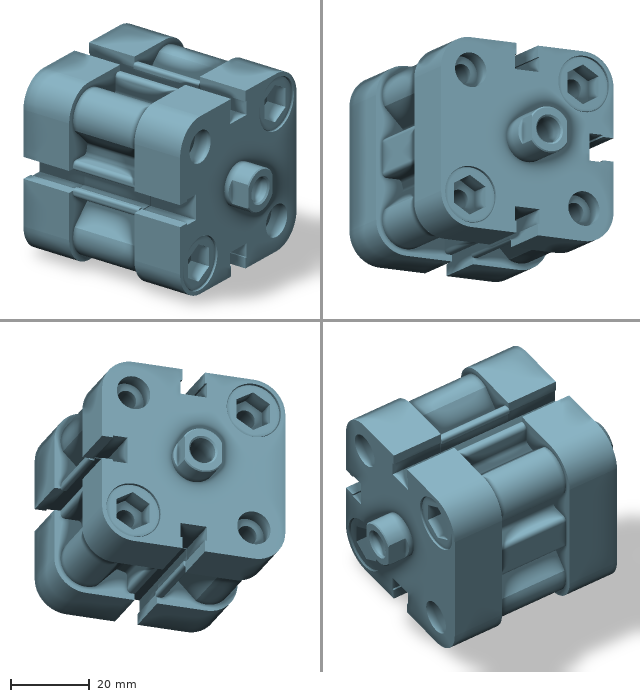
import cadquery as cq
import math


body_width = 49.5
body_length = 49.5
cap_length = 14.45
barrel_length = body_length - 2 * cap_length

bolt_offset = 32.5 / 2
bolt_hole_diameter = 5.1

cap_half = body_width / 2
cap_corner_radius = cap_half - bolt_offset
socket_width = 9.0
round_socket_depth = 5.0
hex_socket_depth = 5.8
head_recess_diameter = 14.7
head_recess_depth = 0.5
head_diameter = 14.2
head_gap_depth = 1.0

cap_neck_width = 6.1
cap_neck_depth = 3.0
cap_slot_width = 7.1
cap_slot_depth = 6.85

barrel_half = 23.05
lobe_radius = barrel_half - bolt_offset
core_half = 12.0

barrel_neck_half = 2.6
lip_inner_radius = 0.7
lip_underside = 21.55
barrel_slot_half = 3.3
barrel_slot_floor = 18.15

groove_wall = 5.1
lip_outer_radius = 1.15
groove_root = 7.9
groove_root_height = 16.9
groove_floor_angle = 15.0
groove_fillet = 1.0

rod_diameter = 12.0
rod_reach_left = 12.0
rod_reach_right = 7.0
rod_length = rod_reach_left + body_length + rod_reach_right
rod_chamfer = 0.3
flats_width = 10.0
flats_length = 5.2
flats_runout = 0.4
thread_bore_diameter = 6.8
thread_bore_depth = 12.0
thread_mouth_diameter = 7.7
drill_point_angle = 118.0

slot_angles = (0, 90, 180)
all_face_angles = (0, 90, 180, 270)


def turned(solid, angle):
    """Turn a solid about the cylinder axis."""
    return solid.rotate((0, 0, 0), (1, 0, 0), angle)


def cross_section():
    """Plane across the cylinder axis at X = 0: local x is +Y, local y is +Z, normal is +X."""
    return cq.Workplane("YZ")



def cap_slot_cutter():
    neck_half = cap_neck_width / 2
    slot_half = cap_slot_width / 2
    shoulder = cap_half - cap_neck_depth
    floor = cap_half - cap_slot_depth
    outline = [
        (neck_half, cap_half),
        (neck_half, shoulder),
        (slot_half, shoulder),
        (slot_half, floor),
    ]
    mirrored = [(-y, z) for y, z in reversed(outline)]
    return cross_section().polyline(outline + mirrored).close().extrude(cap_length)


def make_cap():
    """Left end cap, with its outer face at X = 0."""
    cap = cross_section().rect(body_width, body_width).extrude(cap_length)
    cap = cap.edges("|X").fillet(cap_corner_radius)

    for angle in slot_angles:
        cap = cap.cut(turned(cap_slot_cutter(), angle))

    cap = cap.cut(cross_section().circle(rod_diameter / 2).extrude(cap_length))

    spacing = 2 * bolt_offset
    bolt_holes = cross_section().rect(spacing, spacing, forConstruction=True).vertices()
    cap = cap.cut(bolt_holes.circle(bolt_hole_diameter / 2).extrude(cap_length))

    round_corners = [(bolt_offset, bolt_offset), (-bolt_offset, -bolt_offset)]
    round_sockets = cross_section().pushPoints(round_corners)
    cap = cap.cut(round_sockets.circle(socket_width / 2).extrude(round_socket_depth))

    hex_diameter = socket_width / math.cos(math.radians(30))
    hex_depth = head_recess_depth + hex_socket_depth
    for side in (1, -1):
        corner = cross_section().center(side * bolt_offset, -side * bolt_offset)
        hexagon = corner.transformed(rotate=(0, 0, 90)).polygon(6, hex_diameter)
        cap = cap.cut(hexagon.extrude(hex_depth))
        recess = corner.circle(head_recess_diameter / 2)
        cap = cap.cut(recess.extrude(head_recess_depth))
        gap = corner.circle(head_recess_diameter / 2).circle(head_diameter / 2)
        cap = cap.cut(gap.extrude(head_gap_depth))
    return cap



def barrel_slot_cutter():
    round_middle = lip_inner_radius * (1 - math.sqrt(0.5))
    lip_top = barrel_neck_half + lip_inner_radius
    neck_top = barrel_half - lip_inner_radius
    arc_side = barrel_neck_half + round_middle
    arc_height = barrel_half - round_middle
    return (
        cross_section()
        .moveTo(-lip_top, barrel_half)
        .lineTo(lip_top, barrel_half)
        .threePointArc((arc_side, arc_height), (barrel_neck_half, neck_top))
        .lineTo(barrel_neck_half, lip_underside)
        .lineTo(barrel_slot_half, lip_underside)
        .lineTo(barrel_slot_half, barrel_slot_floor)
        .lineTo(-barrel_slot_half, barrel_slot_floor)
        .lineTo(-barrel_slot_half, lip_underside)
        .lineTo(-barrel_neck_half, lip_underside)
        .lineTo(-barrel_neck_half, neck_top)
        .threePointArc((-arc_side, arc_height), (-lip_top, barrel_half))
        .close()
        .extrude(barrel_length)
    )


def groove_cutter():
    """Groove on the +Y side of the top slot: upright wall, shallow floor, 45 degree flank.

    The flank runs through the edge of the round corner lobe and on into the air above it.
    """
    round_middle = lip_outer_radius * (1 - math.sqrt(0.5))
    floor_rise = (groove_root - groove_wall) * math.tan(math.radians(groove_floor_angle))
    wall_foot = (groove_wall, groove_root_height + floor_rise)
    root = (groove_root, groove_root_height)
    flank_top = (groove_root + barrel_half - groove_root_height, barrel_half)
    cutter = (
        cross_section()
        .moveTo(groove_wall - lip_outer_radius, barrel_half)
        .threePointArc(
            (groove_wall - round_middle, barrel_half - round_middle),
            (groove_wall, barrel_half - lip_outer_radius),
        )
        .lineTo(*wall_foot)
        .lineTo(*root)
        .lineTo(*flank_top)
        .close()
        .extrude(barrel_length)
    )
    for corner in (wall_foot, root):
        middle_of_edge = (barrel_length / 2, *corner)
        edge = cutter.edges(cq.selectors.NearestToPointSelector(middle_of_edge))
        cutter = edge.fillet(groove_fillet)
    return cutter


def make_barrel():
    spacing = 2 * bolt_offset
    corners = cross_section().rect(spacing, spacing, forConstruction=True).vertices()

    barrel = cross_section().rect(2 * core_half, 2 * barrel_half).extrude(barrel_length)
    barrel = barrel.union(cross_section().rect(2 * barrel_half, 2 * core_half).extrude(barrel_length))
    barrel = barrel.union(corners.circle(lobe_radius).extrude(barrel_length))

    groove = groove_cutter()
    for angle in all_face_angles:
        barrel = barrel.cut(turned(groove, angle))
        barrel = barrel.cut(turned(groove.mirror("XZ"), angle))

    for angle in slot_angles:
        barrel = barrel.cut(turned(barrel_slot_cutter(), angle))

    barrel = barrel.cut(cross_section().circle(rod_diameter / 2).extrude(barrel_length))
    barrel = barrel.cut(corners.circle(bolt_hole_diameter / 2).extrude(barrel_length))
    return barrel.translate((cap_length, 0, 0))



def rod_end_cutters():
    """Wrench flats and thread bore of a rod end whose tip is at X = 0."""
    rod_radius = rod_diameter / 2
    flats_half = flats_width / 2
    flat = (
        cq.Workplane("XY")
        .polyline([
            (0, flats_half),
            (flats_length, flats_half),
            (flats_length + flats_runout, rod_radius),
            (0, rod_radius),
        ])
        .close()
        .extrude(rod_radius, both=True)
    )
    bore_radius = thread_bore_diameter / 2
    mouth_radius = thread_mouth_diameter / 2
    mouth_depth = mouth_radius - bore_radius
    point_depth = bore_radius / math.tan(math.radians(drill_point_angle / 2))
    bore = (
        cq.Workplane("XY")
        .polyline([
            (0, 0),
            (0, mouth_radius),
            (mouth_depth, bore_radius),
            (thread_bore_depth, bore_radius),
            (thread_bore_depth + point_depth, 0),
        ])
        .close()
        .revolve(360, (0, 0, 0), (1, 0, 0))
    )
    return flat, flat.mirror("XZ"), bore


def make_rod():
    rod = cross_section().circle(rod_diameter / 2).extrude(rod_length)
    rod = rod.faces("<X or >X").chamfer(rod_chamfer)
    for cutter in rod_end_cutters():
        rod = rod.cut(cutter)
        rod = rod.cut(cutter.mirror("YZ").translate((rod_length, 0, 0)))
    return rod.translate((-rod_reach_left, 0, 0))



left_cap = make_cap()
mid_x = body_length / 2
right_cap = make_cap().rotate((mid_x, 0, 0), (mid_x, 1, 0), 180)
barrel = make_barrel()
rod = make_rod()

result = cq.Compound.makeCompound([left_cap.val(), right_cap.val(), barrel.val(), rod.val()])